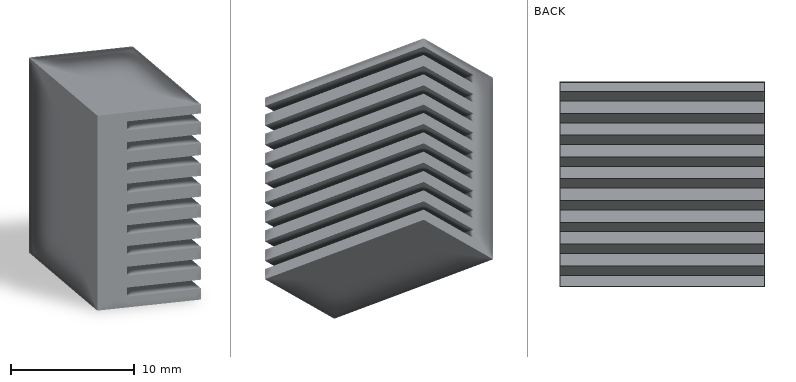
import cadquery as cq

width = 16.5
depth = 8.9
height = 16.5

base_thickness = 2.54
slot_count = 9
slot_gap = 0.76
bottom_fin_thickness = 0.92
top_fin_thickness = 0.76

slot_span = height - bottom_fin_thickness - top_fin_thickness
slot_pitch = (slot_span - slot_gap) / (slot_count - 1)
slot_depth = depth - base_thickness


def fin_slot(bottom_z):
    """Full-width slot, open at the +Y side, with its lower face at bottom_z."""
    slot = cq.Workplane("XY").box(width, slot_depth, slot_gap, centered=(True, False, False))
    return slot.translate((0, base_thickness, bottom_z))


result = cq.Workplane("XY").box(width, depth, height, centered=(True, False, False))
for index in range(slot_count):
    result = result.cut(fin_slot(bottom_fin_thickness + index * slot_pitch))